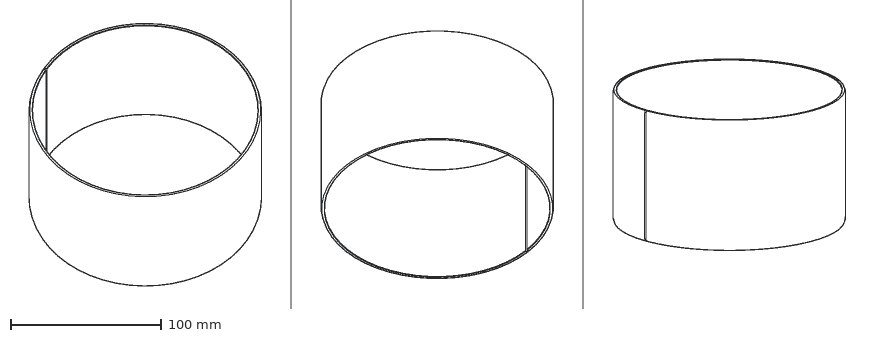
import cadquery as cq

outer_diameter = 155.0
wall = 2.5
height = 90.0
outer_chamfer_height = 2.0
outer_chamfer_depth = 0.6
inner_chamfer = 0.3
slit_width = 1.2

outer_radius = outer_diameter / 2
inner_radius = outer_radius - wall


def wall_ring():
    """Revolve the wall section, with both rims chamfered inside and outside."""
    section = (
        cq.Workplane("XZ")
        .moveTo(inner_radius + inner_chamfer, 0)
        .lineTo(outer_radius - outer_chamfer_depth, 0)
        .lineTo(outer_radius, outer_chamfer_height)
        .lineTo(outer_radius, height - outer_chamfer_height)
        .lineTo(outer_radius - outer_chamfer_depth, height)
        .lineTo(inner_radius + inner_chamfer, height)
        .lineTo(inner_radius, height - inner_chamfer)
        .lineTo(inner_radius, inner_chamfer)
        .close()
    )
    return section.revolve(360, (0, 0, 0), (0, 1, 0))


def slit():
    """Full-height cutter that opens the wall on the -X side, with one face on the XZ plane."""
    return cq.Workplane("XY").box(
        outer_radius, slit_width, height, centered=False
    ).translate((-outer_radius, 0, 0))


result = wall_ring().cut(slit())